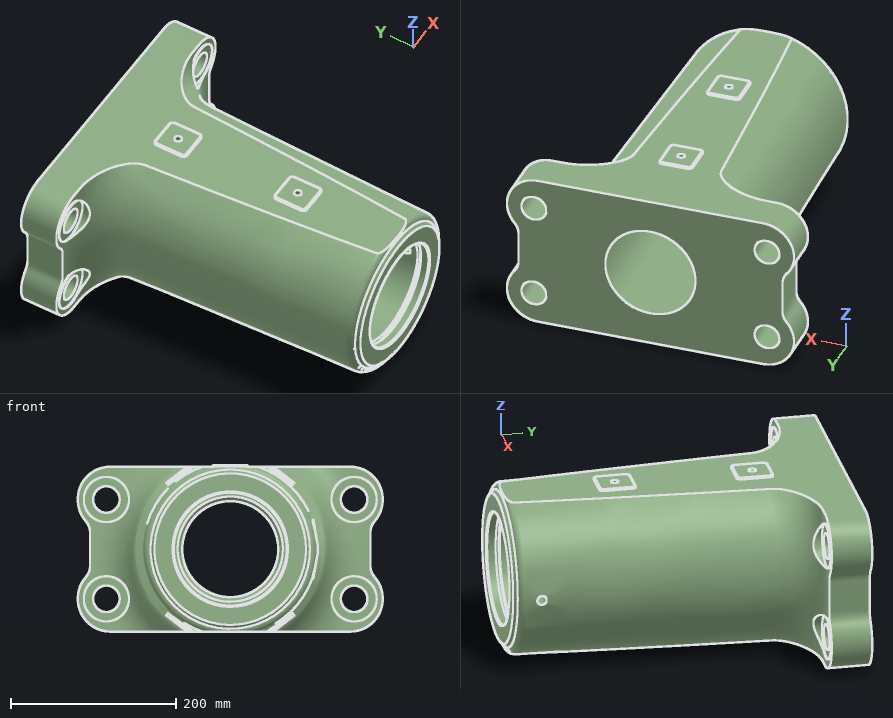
import cadquery as cq
import math

length = 425.0
height = 200.0
half_height = height / 2

flange_thickness = 50.0
lobe_radius = 40.0
lobe_x = 145.0
lobe_z = half_height - lobe_radius
waist_x = 170.0
waist_fillet = 20.0
bolt_x = 150.0
bolt_diameter = 32.0
spotface_diameter = 55.0
spotface_depth = 1.0
spotface_y = -flange_thickness + spotface_depth

root_radius = 114.8
root_fillet = 49.7
root_y = -(flange_thickness + root_fillet)
tip_radius = 105.5
nose_chamfer = 4.5
nose_round = 9.0
tip_y = -(length - nose_chamfer - nose_round)

rear_bore_radius = 116.0 / 2
rear_cone_radius = 63.8
rear_cone_length = 6.0
bore_radius = 137.0 / 2
mouth_radius = 140.0 / 2
groove_radius = 150.0 / 2
groove_start = 12.0
groove_width = 5.0

pad_width = 42.5
pad_length = 45.0
pad_height = 2.0
pad_corner = 5.0
pad_chamfer = 1.3
pad_hole_diameter = 9.0
pad_positions = (-110.0, -280.0)

side_hole_diameter = 11.5
side_hole_y = -392.3


def extrude_along_y(sketch, start_y, end_y):
    """Extrude a sketch drawn in X and Z from start_y towards -Y."""
    return sketch.extrude(start_y - end_y).translate((0, start_y, 0))


def rod(x, z, diameter, start_y, end_y):
    """Round bar parallel to Y."""
    sketch = cq.Workplane("XZ").center(x, z).circle(diameter / 2)
    return extrude_along_y(sketch, start_y, end_y)


def housing_outline():
    """Flange outline: flat top and bottom, round lobes, and a blended waist on each side."""
    blend_x = waist_x + waist_fillet
    center_distance = lobe_radius + waist_fillet
    blend_z = lobe_z - math.sqrt(center_distance**2 - (blend_x - lobe_x) ** 2)
    share = lobe_radius / center_distance
    tangent_x = lobe_x + share * (blend_x - lobe_x)
    tangent_z = lobe_z + share * (blend_z - lobe_z)
    blend_angle = math.atan2(tangent_z - blend_z, tangent_x - blend_x)
    middle_angle = (blend_angle + math.pi) / 2
    middle_x = blend_x + waist_fillet * math.cos(middle_angle)
    middle_z = blend_z + waist_fillet * math.sin(middle_angle)
    outer_x = lobe_x + lobe_radius
    return (
        cq.Workplane("XZ")
        .moveTo(-lobe_x, half_height)
        .lineTo(lobe_x, half_height)
        .threePointArc((outer_x, lobe_z), (tangent_x, tangent_z))
        .threePointArc((middle_x, middle_z), (waist_x, blend_z))
        .lineTo(waist_x, -blend_z)
        .threePointArc((middle_x, -middle_z), (tangent_x, -tangent_z))
        .threePointArc((outer_x, -lobe_z), (lobe_x, -half_height))
        .lineTo(-lobe_x, -half_height)
        .threePointArc((-outer_x, -lobe_z), (-tangent_x, -tangent_z))
        .threePointArc((-middle_x, -middle_z), (-waist_x, -blend_z))
        .lineTo(-waist_x, blend_z)
        .threePointArc((-middle_x, middle_z), (-tangent_x, tangent_z))
        .threePointArc((-outer_x, lobe_z), (-lobe_x, half_height))
        .close()
    )


def revolve_about_y(profile):
    return profile.close().revolve(360, (0, 0, 0), (0, 1, 0))


def barrel():
    """Tapered barrel with a flared root and a rounded, chamfered nose."""
    diagonal = math.sqrt(0.5)
    flare_radius = root_radius + root_fillet
    shoulder_radius = tip_radius - nose_round
    profile = (
        cq.Workplane("XY")
        .lineTo(flare_radius, 0)
        .lineTo(flare_radius, -flange_thickness)
        .threePointArc(
            (flare_radius - root_fillet * diagonal, root_y + root_fillet * diagonal),
            (root_radius, root_y),
        )
        .lineTo(tip_radius, tip_y)
        .threePointArc(
            (shoulder_radius + nose_round * diagonal, tip_y - nose_round * diagonal),
            (shoulder_radius, tip_y - nose_round),
        )
        .lineTo(shoulder_radius - nose_chamfer, -length)
        .lineTo(0, -length)
    )
    return revolve_about_y(profile)


def bore():
    """Through bore with a stepped conical rear end, a seal groove and a chamfered mouth."""
    mouth_chamfer = mouth_radius - bore_radius
    groove_end = groove_start + groove_width
    profile = (
        cq.Workplane("XY")
        .lineTo(rear_bore_radius, 0)
        .lineTo(rear_cone_radius, -rear_cone_length)
        .lineTo(bore_radius, -rear_cone_length)
        .lineTo(bore_radius, -length + groove_end)
        .lineTo(groove_radius, -length + groove_end)
        .lineTo(groove_radius, -length + groove_start)
        .lineTo(bore_radius, -length + groove_start)
        .lineTo(bore_radius, -length + mouth_chamfer)
        .lineTo(mouth_radius, -length)
        .lineTo(0, -length)
    )
    return revolve_about_y(profile)


def pad(y):
    """Rounded square pad with chamfered top edges, rooted slightly in the housing."""
    root_depth = 4.2
    return (
        cq.Workplane("XY", origin=(0, y, half_height - root_depth))
        .rect(pad_width, pad_length)
        .extrude(root_depth + pad_height)
        .edges("|Z")
        .fillet(pad_corner)
        .faces(">Z")
        .edges()
        .chamfer(pad_chamfer)
    )


flange = extrude_along_y(housing_outline(), 0, -flange_thickness)
envelope = extrude_along_y(housing_outline(), 0, -length)
body = flange.union(barrel().intersect(envelope))

for pad_y in pad_positions:
    body = body.union(pad(pad_y))

body = body.cut(bore())

for side_x in (-bolt_x, bolt_x):
    for side_z in (-lobe_z, lobe_z):
        body = body.cut(rod(side_x, side_z, bolt_diameter, 0, -flange_thickness))
        body = body.cut(rod(side_x, side_z, spotface_diameter, spotface_y, -length))

for pad_y in pad_positions:
    pad_hole = cq.Workplane("XY", origin=(0, pad_y, 0)).circle(pad_hole_diameter / 2).extrude(height)
    body = body.cut(pad_hole)

side_hole = cq.Workplane("YZ", origin=(0, side_hole_y, 0)).circle(side_hole_diameter / 2).extrude(waist_x)
result = body.cut(side_hole)